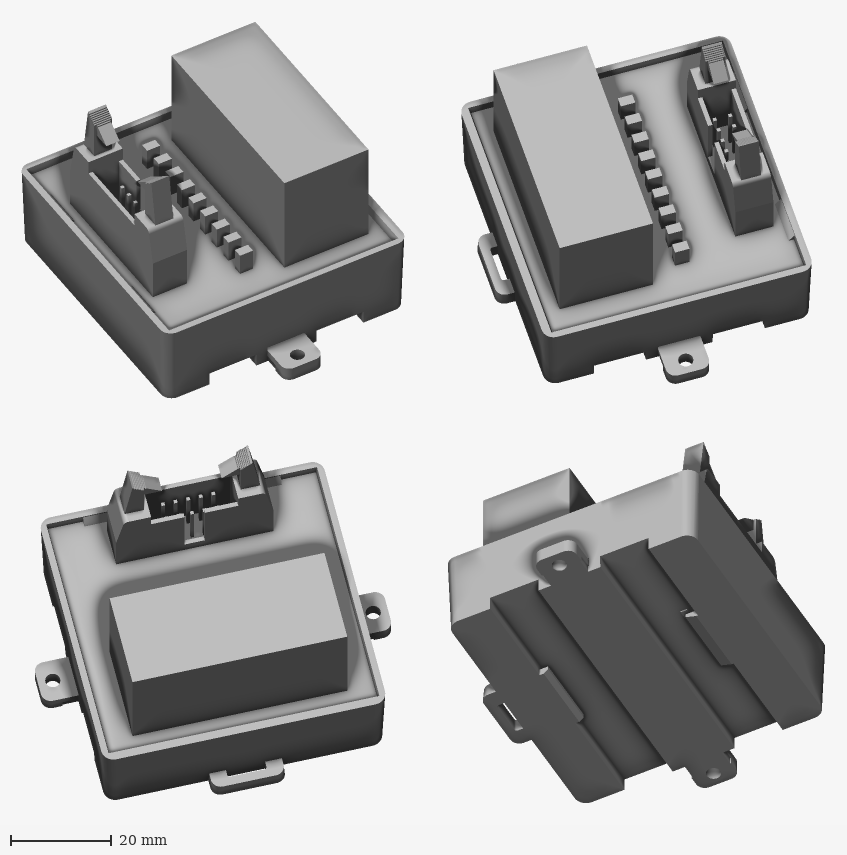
import cadquery as cq

rim_x, rim_y = 58.1, 56.2
base_x, base_y = 57.1, 55.3
housing_height = 18.05
corner_radius = 2.5

board_top = 16.4
board_thickness = 1.6
board_half_x = 27.4
board_front_y, board_back_y = -26.5, 25.9
opening_half_x = 27.7
opening_front_y, opening_back_y = -26.7, 26.4

snap_length = 9.0
snap_x = 15.7
snap_tip_y = -25.35
snap_height = 1.4

foot_height = 3.0
channel_inner_y = 6.95
channel_outer_y = 17.8

tab_width = 15.2
tab_end_y = 31.35
tab_radius = 2.0
tab_draft = 3.0
tab_slot_length = 8.0
tab_slot_radius = 0.5
tab_bar = 2.0
catch_top = 1.6
catch_nose = 0.8
catch_tip_y = 15.9
catch_toe_y = 16.9
hook_tip_y = -15.05
hook_toe_y = -17.4
bump_width = 1.5
bump_height = 0.3
bump_y = -14.7

span_x = 71.6
ear_width = 8.95
ear_radius = 2.0
ear_hole_diameter = 3.0
ear_hole_x = 32.8
ear_step_x = 31.85
ear_step_height = 1.5
ear_step_depth = 0.3
ear_root = 1.4
ear_relief = 0.7

block_x = 43.95
block_front_y, block_back_y = 3.45, 22.9
block_top = 39.1
lamp_count = 9
lamp_pitch = 4.5
lamp_x, lamp_y = 2.0, 3.0
lamp_center_y = -3.6
lamp_top = 21.3

connector_x, connector_y = 32.15, 7.95
connector_center_y = -19.55
connector_top = 33.15
shoulder_z = 25.4
shoulder_inset = 1.65
shoulder_radius = 1.15
cavity_x = 17.8
cavity_wall = 0.9
cavity_floor = 17.2
side_wall_top = 30.15
key_slot_x = 4.15
key_slot_floor = 18.6
pin_size = 0.7
pin_columns, pin_rows = 5, 2
pin_pitch_x, pin_pitch_y = 2.6, 3.2
pin_top = 26.85

latch_width = 4.15
latch_foot_x = 14.0
latch_foot_z = 32.2
latch_tip_x = 12.3
latch_inner_x = 9.9
latch_tip_z = 43.25
nose_width = 3.1
nose_tip_x = 6.1
nose_z = 38.5
grip_count = 8
grip_start_x = 12.0
grip_end_x = 9.4
grip_depth = 0.15


def block(x0, x1, y0, y1, z0, z1):
    """Box between the given limits."""
    return cq.Workplane("XY").box(x1 - x0, y1 - y0, z1 - z0, centered=False).translate((x0, y0, z0))


def strip(points, length, x_middle=0.0):
    """Y-Z outline extruded along X, centred on x_middle."""
    bar = cq.Workplane("YZ").polyline(points).close().extrude(length / 2, both=True)
    return bar.translate((x_middle, 0, 0))


def slab(points, width):
    """X-Z outline extruded along Y, centred on Y = 0."""
    return cq.Workplane("XZ").polyline(points).close().extrude(width / 2, both=True)


def mirrored_pair(body):
    """The body together with its mirror image across the Y-Z plane."""
    return body.union(body.mirror("YZ"))


def board_plate():
    """Bare board, which is also the shape of its seat in the housing."""
    return block(
        -board_half_x, board_half_x, board_front_y, board_back_y, board_top - board_thickness, board_top
    )


def housing_shell():
    shell = (
        cq.Workplane("XY")
        .rect(base_x, base_y)
        .workplane(offset=housing_height)
        .rect(rim_x, rim_y)
        .loft(combine=True, ruled=True)
    )
    return shell.edges("not(#Z)").fillet(corner_radius)


def board_recess():
    opening = (
        cq.Workplane("XY", origin=(0, (board_front_y + board_back_y) / 2, board_top))
        .rect(2 * board_half_x, board_back_y - board_front_y)
        .workplane(offset=housing_height - board_top)
        .center(0, (opening_front_y + opening_back_y - board_front_y - board_back_y) / 2)
        .rect(2 * opening_half_x, opening_back_y - opening_front_y)
        .loft(combine=True, ruled=True)
    )
    return board_plate().union(opening)


def snap_hook():
    """Wedge on the front wall, flat on the board and sloping down towards the inside."""
    outline = [
        (opening_front_y, board_top),
        (snap_tip_y, board_top),
        (opening_front_y, board_top + snap_height),
    ]
    return strip(outline, snap_length, snap_x)


def rail_channel(y0, y1):
    return block(-rim_x / 2, rim_x / 2, y0, y1, 0, foot_height)


def release_tab():
    wall_y = base_y / 2
    root_y = channel_outer_y
    tab = (
        cq.Workplane("XY", origin=(0, (root_y + tab_end_y) / 2, 0))
        .rect(tab_width, tab_end_y - root_y)
        .extrude(foot_height, taper=tab_draft)
        .edges("not(#Z)")
        .edges(">Y")
        .fillet(tab_radius)
    )
    slot = block(
        -tab_slot_length / 2, tab_slot_length / 2, wall_y, tab_end_y - tab_bar, 0, foot_height
    )
    return tab.cut(slot.edges("|Z and >Y").fillet(tab_slot_radius))


def rail_nose(root_y, tip_y, toe_y):
    """Nose that reaches from a channel's outer wall into the channel, bevelled underneath."""
    outline = [(root_y, 0), (root_y, catch_top), (tip_y, catch_top), (tip_y, catch_nose), (toe_y, 0)]
    return strip(outline, tab_width)


def rail_bump():
    return block(
        -tab_width / 2,
        tab_width / 2,
        bump_y - bump_width / 2,
        bump_y + bump_width / 2,
        foot_height - bump_height,
        foot_height,
    )


def ear():
    """Left mounting ear, stepped in along both lower edges near the wall."""
    inner_x = -base_x / 2 + ear_root
    half_width = ear_width / 2
    plate = block(-span_x / 2, inner_x, -half_width, half_width, 0, foot_height)
    plate = plate.edges("|Z and <X").fillet(ear_radius)
    hole = cq.Workplane("XY").center(-ear_hole_x, 0).circle(ear_hole_diameter / 2).extrude(foot_height)
    step = block(
        -ear_step_x, -base_x / 2, half_width - ear_step_depth, half_width, 0, ear_step_height
    )
    return plate.cut(hole).cut(step).cut(step.mirror("XZ"))


def ear_relief_cut():
    """Wedge above the left ear whose roof falls from the wall down to the ear."""
    wall_x = -base_x / 2
    outline = [
        (wall_x - ear_relief, foot_height),
        (wall_x + ear_relief, foot_height),
        (wall_x, foot_height + ear_relief),
        (wall_x - ear_relief, foot_height + ear_relief),
    ]
    return slab(outline, ear_width)


def make_housing():
    body = housing_shell().cut(board_recess())
    body = body.cut(rail_channel(channel_inner_y, channel_outer_y))
    body = body.cut(rail_channel(-channel_outer_y, -channel_inner_y))
    body = body.cut(mirrored_pair(ear_relief_cut()))
    body = body.union(release_tab()).union(rail_bump())
    body = body.union(rail_nose(channel_outer_y, catch_tip_y, catch_toe_y))
    body = body.union(rail_nose(-channel_outer_y, hook_tip_y, hook_toe_y))
    return body.union(mirrored_pair(ear())).union(mirrored_pair(snap_hook()))


def make_board():
    """Board with the terminal block and the row of indicator lamps."""
    board = board_plate().union(
        block(-block_x / 2, block_x / 2, block_front_y, block_back_y, board_top, block_top)
    )
    lamps = (
        cq.Workplane("XY", origin=(0, lamp_center_y, board_top))
        .rarray(lamp_pitch, 0.7, lamp_count, 1)
        .rect(lamp_x, lamp_y)
        .extrude(lamp_top - board_top)
    )
    return board.union(lamps)


def connector_shell():
    half_x = connector_x / 2
    outline = [
        (-half_x, board_top),
        (half_x, board_top),
        (half_x, shoulder_z),
        (half_x - shoulder_inset, connector_top),
        (-half_x + shoulder_inset, connector_top),
        (-half_x, shoulder_z),
    ]
    shell = slab(outline, connector_y)
    shell = shell.faces(">Z").edges("|Y").fillet(shoulder_radius)
    half_y = connector_y / 2
    half_cavity = cavity_x / 2
    inner_y = half_y - cavity_wall
    lowered_sides = block(-half_cavity, half_cavity, -half_y, half_y, side_wall_top, connector_top)
    cavity = block(-half_cavity, half_cavity, -inner_y, inner_y, cavity_floor, connector_top)
    key_slot = block(-key_slot_x / 2, key_slot_x / 2, inner_y, half_y, key_slot_floor, connector_top)
    return shell.cut(lowered_sides).cut(cavity).cut(key_slot)


def connector_pins():
    return (
        cq.Workplane("XY", origin=(0, 0, cavity_floor))
        .rarray(pin_pitch_x, pin_pitch_y, pin_columns, pin_rows)
        .rect(pin_size, pin_size)
        .extrude(pin_top - cavity_floor)
    )


def latch():
    """Right latch: an upright lever, a nose pointing inwards and a ribbed thumb grip."""
    slope = (latch_tip_z - nose_z) / (latch_tip_x - nose_tip_x)
    inner_z = latch_tip_z - slope * (latch_tip_x - latch_inner_x)
    lever_outline = [
        (latch_inner_x, latch_foot_z),
        (latch_foot_x, latch_foot_z),
        (latch_tip_x, latch_tip_z),
        (latch_inner_x, inner_z),
    ]
    nose_outline = [(latch_inner_x, nose_z), (latch_inner_x, inner_z), (nose_tip_x, nose_z)]
    lever = slab(lever_outline, latch_width)
    nose = slab(nose_outline, nose_width)
    body = lever.union(nose)
    pitch = (grip_start_x - grip_end_x) / grip_count
    for index in range(grip_count):
        x = grip_start_x - (index + 1) * pitch
        z = latch_tip_z - slope * (latch_tip_x - x)
        groove = [(x, z), (x + pitch / 2, z + slope * pitch / 2), (x + pitch / 2, z - grip_depth)]
        body = body.cut(slab(groove, latch_width))
    return body


def make_connector():
    body = connector_shell().union(connector_pins()).union(mirrored_pair(latch()))
    return body.translate((0, connector_center_y, 0))


housing = make_housing()
board = make_board()
connector = make_connector()

result = cq.Compound.makeCompound([body.solids().val() for body in (housing, board, connector)])